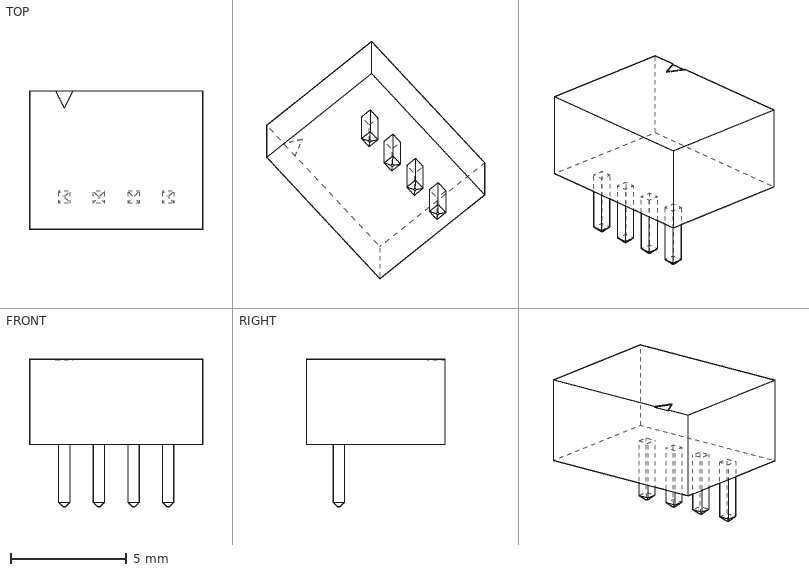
import cadquery as cq

LENGTH = 7.5
WIDTH = 6.0
HEIGHT = 3.7

PIN_COUNT = 4
PIN_PITCH = 1.5
PIN_SIZE = 0.5
PIN_LENGTH = 2.7
PIN_ROW_INSET = 1.4
TIP_LENGTH = 0.2
TIP_SIZE = 0.1

NOTCH_WIDTH = 0.75
NOTCH_REACH = 0.75
NOTCH_DEPTH = 0.04
NOTCH_X = -(PIN_COUNT - 1) / 2 * PIN_PITCH


def make_housing():
    block = cq.Workplane("XY").box(LENGTH, WIDTH, HEIGHT, centered=(True, True, False))
    notch = (
        cq.Workplane("XY", origin=(NOTCH_X, WIDTH / 2, HEIGHT))
        .moveTo(-NOTCH_WIDTH / 2, 0)
        .lineTo(NOTCH_WIDTH / 2, 0)
        .lineTo(0, -NOTCH_REACH)
        .close()
        .extrude(-NOTCH_DEPTH)
    )
    return block.cut(notch)


def make_pin(x, y):
    """Square pin hanging from the underside, ending in a blunt pyramid."""
    shank_length = PIN_LENGTH - TIP_LENGTH
    shank = cq.Workplane("XY", origin=(x, y, 0)).rect(PIN_SIZE, PIN_SIZE).extrude(-shank_length)
    tip = (
        cq.Workplane("XY", origin=(x, y, -shank_length))
        .rect(PIN_SIZE, PIN_SIZE)
        .workplane(offset=-TIP_LENGTH)
        .rect(TIP_SIZE, TIP_SIZE)
        .loft()
    )
    return shank.union(tip)


housing = make_housing()

pin_y = PIN_ROW_INSET - WIDTH / 2
pins = []
for index in range(PIN_COUNT):
    pin_x = (index - (PIN_COUNT - 1) / 2) * PIN_PITCH
    pins.append(make_pin(pin_x, pin_y))

result = cq.Compound.makeCompound([housing.val(), *[pin.val() for pin in pins]])